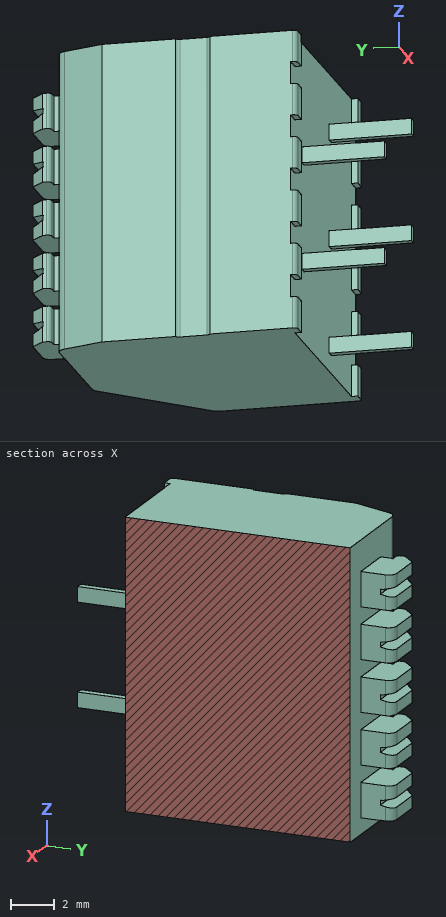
import cadquery as cq

pole_count = 5
pitch = 2.54
foot_height = 1.5
body_height = pole_count * pitch + foot_height
body_bottom = -body_height / 2

half_width = 6.0
underside_y = 0.3
top_y = 11.5
back_slope_start_y = 9.2
back_slope_top_x = -5.2
back_round = 0.55
front_slope_size = 4.63
front_round = 0.5

groove_depth = 0.12
groove_floor_low_y = 4.28
groove_floor_high_y = 5.54
groove_round = 0.2

foot_width = 0.8
foot_round = 0.2

lever_top_y = 13.12
lever_back_x = -3.5
lever_front_x = -1.2
lever_round = 0.4
lever_height = 1.7
lever_offset = 1.67
hook_tip_x = -4.03
hook_under_y = 12.1
hook_round = 0.2
hook_slope = 0.63
notch_depth = 0.65
notch_mouth = 0.48
notch_floor = 0.22

pin_thickness = 0.4
pin_height = 0.76
pin_length = 3.58
pin_offset = 1.25
pin_row_x = 1.3
pin_row_spacing = 5.0


def make_housing():
    """Prism with one steep back slope and one 45 degree front slope."""
    outline = [
        (-half_width, underside_y),
        (half_width, underside_y),
        (half_width, top_y - front_slope_size),
        (half_width - front_slope_size, top_y),
        (back_slope_top_x, top_y),
        (-half_width, back_slope_start_y),
    ]
    housing = cq.Workplane("XY", origin=(0, 0, body_bottom)).polyline(outline).close().extrude(body_height)
    back_edge = cq.selectors.NearestToPointSelector((back_slope_top_x, top_y, 0))
    top_front_edge = cq.selectors.NearestToPointSelector((half_width - front_slope_size, top_y, 0))
    low_front_edge = cq.selectors.NearestToPointSelector((half_width, top_y - front_slope_size, 0))
    housing = housing.edges("|Z").edges(back_edge).fillet(back_round)
    housing = housing.edges("|Z").edges(top_front_edge).fillet(front_round)
    return housing.edges("|Z").edges(low_front_edge).fillet(front_round)


def make_groove_cutter():
    """Bar with rounded corners that leaves a shallow groove in the -X face."""
    width = groove_floor_high_y - groove_floor_low_y + 2 * groove_round
    thickness = 2 * groove_round + groove_depth
    cutter = cq.Workplane("XY").box(thickness, width, body_height).edges("|Z and >X").fillet(groove_round)
    center_x = -half_width + groove_depth - thickness / 2
    center_y = (groove_floor_low_y + groove_floor_high_y) / 2
    return cutter.translate((center_x, center_y, 0))


def make_foot(side, bottom_z):
    """Foot at the -X (side = -1) or +X (side = 1) border, rounded outside."""
    outer_x = side * half_width
    outline = [
        (outer_x, underside_y),
        (outer_x, 0),
        (outer_x - side * foot_width, 0),
        (outer_x - side * foot_width, underside_y),
    ]
    foot = cq.Workplane("XY", origin=(0, 0, bottom_z)).polyline(outline).close().extrude(foot_height)
    outer_edge = cq.selectors.NearestToPointSelector((outer_x, 0, bottom_z + foot_height / 2))
    return foot.edges("|Z").edges(outer_edge).fillet(foot_round)


def make_lever(center_z):
    """Hooked lever with a tapered notch running along X in its top."""
    outline = [
        (lever_back_x, top_y),
        (lever_back_x, hook_under_y),
        (hook_tip_x, hook_under_y),
        (hook_tip_x, lever_top_y - hook_slope),
        (hook_tip_x + hook_slope, lever_top_y),
        (lever_front_x, lever_top_y),
        (lever_front_x, top_y),
    ]
    bottom_z = center_z - lever_height / 2
    lever = cq.Workplane("XY", origin=(0, 0, bottom_z)).polyline(outline).close().extrude(lever_height)
    lever = lever.edges("|Z").edges(">X and >Y").fillet(lever_round)
    hook_edge = cq.selectors.NearestToPointSelector((hook_tip_x, hook_under_y, center_z))
    lever = lever.edges("|Z").edges(hook_edge).fillet(hook_round)
    notch_outline = [
        (lever_top_y, center_z - notch_mouth / 2),
        (lever_top_y, center_z + notch_mouth / 2),
        (lever_top_y - notch_depth, center_z + notch_floor / 2),
        (lever_top_y - notch_depth, center_z - notch_floor / 2),
    ]
    notch_length = lever_front_x - hook_tip_x
    notch = cq.Workplane("YZ", origin=(hook_tip_x, 0, 0)).polyline(notch_outline).close().extrude(notch_length)
    return lever.cut(notch)


def make_pin(center_x, center_z):
    """Rectangular solder pin reaching down from the housing underside."""
    length = pin_length + underside_y
    pin = cq.Workplane("XY").box(pin_thickness, length, pin_height)
    return pin.translate((center_x, underside_y - length / 2, center_z))


result = make_housing().cut(make_groove_cutter())

for foot_index in range(pole_count + 1):
    foot_z = body_bottom + foot_index * pitch
    for side in (-1, 1):
        result = result.union(make_foot(side, foot_z))

for pole in range(pole_count):
    pole_z = body_bottom + pole * pitch
    pin_x = pin_row_x - (pole % 2) * pin_row_spacing
    result = result.union(make_lever(pole_z + lever_offset))
    result = result.union(make_pin(pin_x, pole_z + pin_offset))